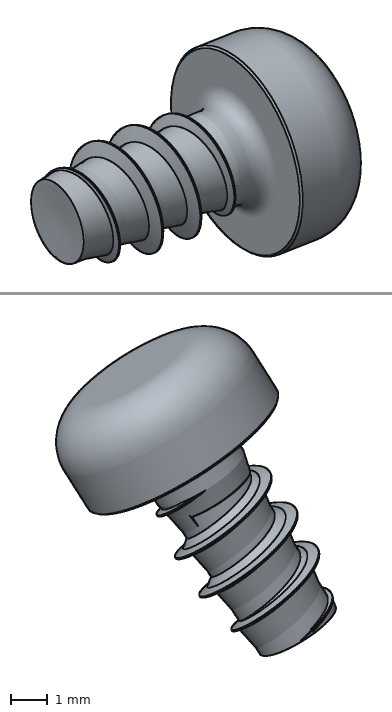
import cadquery as cq
import math


head_radius = 3.05
head_height = 2.69
dome_radius = 1.35
head_edge_chamfer = 0.06

shank_length = 6.0
neck_radius = 1.39
neck_fillet = 0.5
thread_top = 0.875
neck_taper_end = 1.43
neck_taper_radius = 1.25
core_radius = 1.205
tip_dimple_radius = 1.135
tip_dimple_depth = 0.07

pitch = 1.287
crest_radius = 1.75
first_crest_depth = 1.165
run_in_end = 2.1
run_out_start = 4.07
run_in_slope = 0.2
run_out_slope = 0.265
ridge_start = 0.45
ridge_end = 5.9
points_per_turn = 12

ridge_section = [
    (-0.418, 0.70),
    (-0.105, 0.31),
    (-0.025, 0.0),
    (0.025, 0.0),
    (0.225, 0.70),
]

band_edge_radius = 1.335
band_start = 0.95
band_fade_start = 5.5
band_fade_end = 5.97
band_fade_drop = 0.12
band_section = [
    (-0.1, 0.25),
    (0.0, 0.0),
    (0.95, 0.155),
    (0.95, 0.25),
]


def ridge_radius(depth):
    """Crest radius, sinking toward both ends of the thread."""
    run_in = run_in_slope * max(0.0, run_in_end - depth)
    run_out = run_out_slope * max(0.0, depth - run_out_start)
    return crest_radius - run_in - run_out


def band_radius(depth):
    """Edge radius of the core band, fading into the core at the tip."""
    fade = max(0.0, depth - band_fade_start) / (band_fade_end - band_fade_start)
    return band_edge_radius - band_fade_drop * fade


def helix_point(depth, offset, radius):
    """Point on a right-hand helix about Y, shifted axially by the offset."""
    angle = 2 * math.pi * (depth - first_crest_depth) / pitch
    return cq.Vector(radius * math.cos(angle), -(depth + offset), radius * math.sin(angle))


def helical_solid(section, radius_at, start, end):
    """Solid made by winding a section about Y while its radius varies."""
    steps = math.ceil((end - start) / pitch * points_per_turn)
    depths = [start + (end - start) * i / steps for i in range(steps + 1)]
    edges = []
    for offset, drop in section:
        points = [helix_point(depth, offset, radius_at(depth) - drop) for depth in depths]
        edges.append(cq.Edge.makeSpline(points, parameters=depths))
    faces = []
    for edge, next_edge in zip(edges, edges[1:] + edges[:1]):
        faces.append(cq.Face.makeRuledSurface(edge, next_edge))
    for depth in (start, end):
        corners = [helix_point(depth, offset, radius_at(depth) - drop) for offset, drop in section]
        faces.append(cq.Face.makeFromWires(cq.Wire.makePolygon(corners, close=True)))
    solid = cq.Solid.makeSolid(cq.Shell.makeShell(faces))
    return cq.Workplane(solid.fix())


def make_head_and_neck():
    """Domed head, filleted neck and the short cone that leads into the core."""
    arc_side = math.sqrt(0.5)
    dome_center = (head_radius - dome_radius, head_height - dome_radius)
    dome_middle = (dome_center[0] + dome_radius * arc_side, dome_center[1] + dome_radius * arc_side)
    fillet_outer = neck_radius + neck_fillet
    fillet_middle = (fillet_outer - neck_fillet * arc_side, -neck_fillet + neck_fillet * arc_side)
    profile = (
        cq.Workplane("XY")
        .moveTo(0, head_height)
        .lineTo(dome_center[0], head_height)
        .threePointArc(dome_middle, (head_radius, dome_center[1]))
        .lineTo(head_radius, head_edge_chamfer)
        .lineTo(head_radius - head_edge_chamfer, 0)
        .lineTo(fillet_outer, 0)
        .threePointArc(fillet_middle, (neck_radius, -neck_fillet))
        .lineTo(neck_radius, -thread_top)
        .lineTo(neck_taper_radius, -neck_taper_end)
        .lineTo(0, -neck_taper_end)
        .close()
    )
    return profile.revolve(360, (0, 0, 0), (0, 1, 0))


def make_threaded_core():
    """Core with its band and thread ridge, trimmed square below the neck and at the tip."""
    core = cq.Workplane("XZ").circle(core_radius).extrude(shank_length + pitch)
    band = helical_solid(band_section, band_radius, band_start, band_fade_end)
    ridge = helical_solid(ridge_section, ridge_radius, ridge_start, ridge_end)
    trim = (
        cq.Workplane("XZ", origin=(0, -thread_top, 0))
        .circle(head_radius)
        .extrude(shank_length - thread_top)
    )
    return core.union(band).union(ridge).intersect(trim)


def make_tip_dimple():
    """Shallow cone sunk into the tip."""
    profile = (
        cq.Workplane("XY", origin=(0, -shank_length, 0))
        .lineTo(tip_dimple_radius, 0)
        .lineTo(0, tip_dimple_depth)
        .close()
    )
    return profile.revolve(360, (0, 0, 0), (0, 1, 0))


result = make_threaded_core().union(make_head_and_neck()).cut(make_tip_dimple())